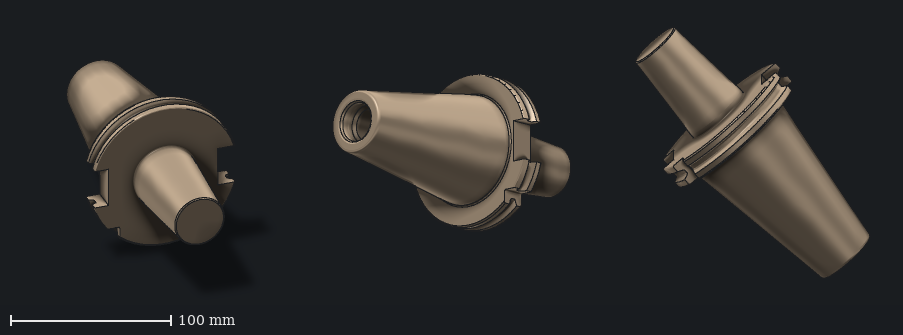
import cadquery as cq
import math

gauge_diameter = 69.85
taper_length = 101.6
taper_ratio = 7 / 24
small_end_diameter = gauge_diameter - taper_length * taper_ratio
small_end_fillet = 2.0
shank_root_fillet = 1.0
gauge_blend_radius = 7.0

flange_diameter = 97.5
flange_front = 3.2
flange_thickness = 15.9
flange_back = flange_front + flange_thickness
flange_edge_fillet = 1.0

groove_centre = flange_front + 8.0
groove_width = 6.8
groove_depth = 3.1
groove_half_angle = 30.0
groove_fillet = 1.1

slot_width = 25.9
slot_floor_plus_y = 35.3
slot_floor_minus_y = 37.7
notch_wall_y = -30.0
notch_floor_z = -30.0
notch_fillet = 1.5
beyond_flange = flange_diameter

nose_end = 80.0
nose_diameter = 42.0
nose_tip_diameter = 33.0
nose_taper_angle = 4.5
nose_root_fillet = 1.0
nose_tip_chamfer = 0.7

mouth_diameter = 29.0
mouth_bevel_depth = 0.3
centre_cone_diameter = 26.4
centre_cone_half_angle = 30.0
pilot_diameter = 24.6
pilot_depth = 6.6
relief_diameter = 24.2
relief_start_depth = 7.6
relief_end_depth = 10.2
thread_entry_diameter = 23.2
thread_entry_depth = 10.8
thread_diameter = 20.4
thread_depth = 55.0
drill_point_angle = 118.0


def turn(profile):
    """Turn a profile of (X, radius) points about the X axis."""
    return profile.close().revolve(360, (0, 0, 0), (1, 0, 0))


def shank():
    gauge_radius = gauge_diameter / 2
    taper_angle = math.atan(taper_ratio / 2)
    blend_run = gauge_blend_radius * math.tan(taper_angle / 2)
    blend_start = (
        -blend_run * math.cos(taper_angle),
        gauge_radius - blend_run * math.sin(taper_angle),
    )
    body = turn(
        cq.Workplane("XY")
        .moveTo(-taper_length, 0)
        .lineTo(-taper_length, small_end_diameter / 2)
        .lineTo(*blend_start)
        .radiusArc((blend_run, gauge_radius), gauge_blend_radius)
        .lineTo(flange_front - shank_root_fillet, gauge_radius)
        .radiusArc((flange_front, gauge_radius + shank_root_fillet), -shank_root_fillet)
        .lineTo(flange_front, 0)
    )
    return body.faces("<X").edges().fillet(small_end_fillet)


def flange():
    outer = flange_diameter / 2
    disc = (
        cq.Workplane("YZ", origin=(flange_front, 0, 0))
        .circle(outer)
        .extrude(flange_thickness)
        .edges()
        .fillet(flange_edge_fillet)
    )
    half_width = groove_width / 2
    half_floor = half_width - groove_depth * math.tan(math.radians(groove_half_angle))
    floor = outer - groove_depth
    groove = turn(
        cq.Workplane("XY")
        .moveTo(groove_centre - half_width, outer)
        .lineTo(groove_centre - half_floor, floor)
        .lineTo(groove_centre + half_floor, floor)
        .lineTo(groove_centre + half_width, outer)
    )
    floor_edges = cq.selectors.RadiusNthSelector(0)
    return disc.cut(groove.edges(floor_edges).fillet(groove_fillet))


def nose():
    root = nose_diameter / 2
    tip = nose_tip_diameter / 2
    taper_run = (root - tip) / math.tan(math.radians(nose_taper_angle))
    body = turn(
        cq.Workplane("XY")
        .moveTo(flange_back, 0)
        .lineTo(flange_back, root + nose_root_fillet)
        .radiusArc((flange_back + nose_root_fillet, root), -nose_root_fillet)
        .lineTo(nose_end - taper_run, root)
        .lineTo(nose_end, tip)
        .lineTo(nose_end, 0)
    )
    return body.faces(">X").edges().chamfer(nose_tip_chamfer)


def flange_cutter(y_from, y_to, z_from, z_to):
    """Block along X, cutting right through the flange and the fillet at the root of the shank."""
    x_from = flange_front - shank_root_fillet
    block = cq.Workplane("XY").box(flange_back - x_from, y_to - y_from, z_to - z_from, centered=False)
    return block.translate((x_from, y_from, z_from))


def bore():
    start = -taper_length
    thread_radius = thread_diameter / 2
    thread_chamfer = thread_entry_diameter / 2 - thread_radius
    cone_width = (centre_cone_diameter - pilot_diameter) / 2
    cone_length = cone_width / math.tan(math.radians(centre_cone_half_angle))
    point_length = thread_radius / math.tan(math.radians(drill_point_angle / 2))
    return turn(
        cq.Workplane("XY")
        .moveTo(start, 0)
        .lineTo(start, mouth_diameter / 2)
        .lineTo(start + mouth_bevel_depth, centre_cone_diameter / 2)
        .lineTo(start + mouth_bevel_depth + cone_length, pilot_diameter / 2)
        .lineTo(start + pilot_depth, pilot_diameter / 2)
        .lineTo(start + relief_start_depth, relief_diameter / 2)
        .lineTo(start + relief_end_depth, relief_diameter / 2)
        .lineTo(start + thread_entry_depth, thread_entry_diameter / 2)
        .lineTo(start + thread_entry_depth + thread_chamfer, thread_radius)
        .lineTo(start + thread_depth, thread_radius)
        .lineTo(start + thread_depth + point_length, 0)
    )


def drive_slots():
    half_width = slot_width / 2
    plus_y = flange_cutter(slot_floor_plus_y, beyond_flange, -half_width, half_width)
    minus_y = flange_cutter(-beyond_flange, -slot_floor_minus_y, -half_width, half_width)
    return plus_y.union(minus_y)


def orientation_notch():
    block = flange_cutter(-beyond_flange, notch_wall_y, -beyond_flange, notch_floor_z)
    return block.edges("|X and >Y and >Z").fillet(notch_fillet)


body = flange().union(shank()).union(nose())
result = body.cut(drive_slots()).cut(orientation_notch()).cut(bore())